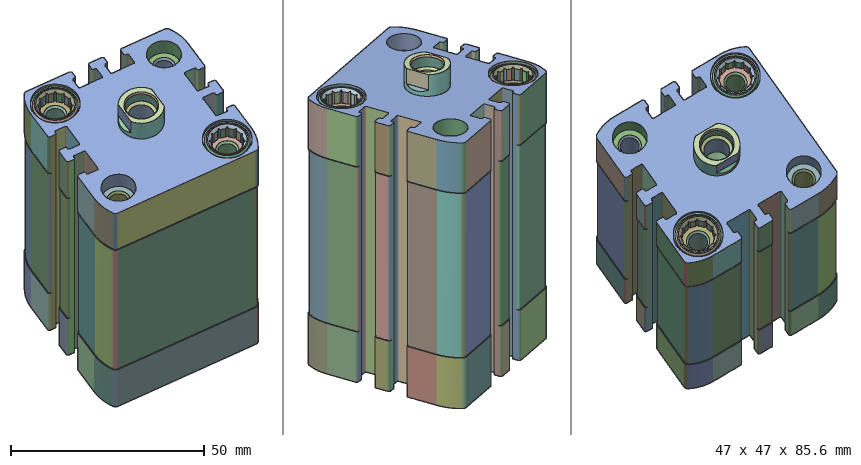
import cadquery as cq
import math

TOTAL_HEIGHT = 85.6
ROD_EXPOSED = 6.4
HOUSING_HEIGHT = TOTAL_HEIGHT - ROD_EXPOSED

HOUSING_WIDTH = 47.0
CAP_HEIGHT = 15.1
TUBE_INSET = 0.25
CORNER_RADIUS = 13.3
CORNER_BLEND_RADIUS = 1.3
SCREW_OFFSET = 16.3

SLOT_OFFSET = 4.8
SLOT_MOUTH_WIDTH = 5.0
SLOT_INNER_WIDTH = 7.1
SLOT_DEPTH = 5.9
SLOT_LIP_DEPTH = 2.4
SLOT_LIP_RADIUS = 0.6
SLOT_INNER_RADIUS = 0.3
SLOT_SIDE_ANGLES = (0, 180, -90)

BORE_DIAMETER = 4.9
BORE_CHAMFER_DIAMETER = 6.0
BORE_CHAMFER_DEPTH = (BORE_CHAMFER_DIAMETER - BORE_DIAMETER) / 2

COUNTERBORE_DIAMETER = 9.0
COUNTERBORE_DEPTH = 5.0

RECESS_DIAMETER = 12.8
HEAD_DIAMETER = 11.9
HEAD_GROOVE_DEPTH = 0.8
HEAD_TOP_DIAMETER = 10.9
HEAD_TOP_DEPTH = 0.25
SOCKET_RIM_DIAMETER = 10.2
SOCKET_DIAMETER = 8.5
SOCKET_DEPTH = 4.5
SOCKET_SQUARES = 3
SOCKET_POINT_DIAMETER = 9.25

ROD_DIAMETER = 12.0
ROD_LENGTH = 21.4
ROD_FLAT_WIDTH = 10.0
ROD_FLAT_HEIGHT = 4.5
ROD_FLAT_RUNOUT = 0.7

ROD_MOUTH_DIAMETER = 9.0
ROD_MOUTH_DEPTH = 0.5
ROD_ENTRY_DIAMETER = 8.4
ROD_ENTRY_DEPTH = 3.4
ROD_DRILL_DIAMETER = 6.7
ROD_DRILL_DEPTH = 12.0
DRILL_POINT_SLOPE = math.tan(math.radians(30))


def outline_block(inset, height):
    """Square block with bulged corners, its outline moved inwards by inset."""
    half = HOUSING_WIDTH / 2 - inset
    radius = CORNER_RADIUS - inset
    reach = half - SCREW_OFFSET
    corner_y = half - radius + math.sqrt(radius**2 - reach**2)
    return (
        cq.Workplane("XY")
        .moveTo(-SCREW_OFFSET, -half)
        .lineTo(SCREW_OFFSET, -half)
        .radiusArc((half, -corner_y), -radius)
        .lineTo(half, corner_y)
        .radiusArc((SCREW_OFFSET, half), -radius)
        .lineTo(-SCREW_OFFSET, half)
        .radiusArc((-half, corner_y), -radius)
        .lineTo(-half, -corner_y)
        .radiusArc((-SCREW_OFFSET, -half), -radius)
        .close()
        .extrude(height)
        .edges("|Z and (<X or >X)")
        .fillet(CORNER_BLEND_RADIUS)
    )


def slot_cutter(inset, height):
    """T-slot in the -Y side with rounded lips; the floor does not move with the inset."""
    face = -HOUSING_WIDTH / 2 + inset
    lip = -HOUSING_WIDTH / 2 + SLOT_LIP_DEPTH
    floor = -HOUSING_WIDTH / 2 + SLOT_DEPTH
    mouth = SLOT_MOUTH_WIDTH / 2
    inner = SLOT_INNER_WIDTH / 2
    margin = SLOT_INNER_RADIUS
    return (
        cq.Workplane("XY")
        .moveTo(mouth + SLOT_LIP_RADIUS, face)
        .radiusArc((mouth, face + SLOT_LIP_RADIUS), SLOT_LIP_RADIUS)
        .lineTo(mouth, lip)
        .lineTo(inner, lip)
        .lineTo(inner, floor)
        .lineTo(-inner, floor)
        .lineTo(-inner, lip)
        .lineTo(-mouth, lip)
        .lineTo(-mouth, face + SLOT_LIP_RADIUS)
        .radiusArc((-mouth - SLOT_LIP_RADIUS, face), SLOT_LIP_RADIUS)
        .close()
        .extrude(height)
        .edges(cq.selectors.BoxSelector(
            (-inner - margin, lip - margin, -margin),
            (inner + margin, floor + margin, height + margin),
        ))
        .edges("|Z")
        .fillet(SLOT_INNER_RADIUS)
    )


def housing_section(inset, height, base_z):
    """One slotted length of the housing, starting at base_z."""
    section = outline_block(inset, height)
    for angle in SLOT_SIDE_ANGLES:
        for offset in (-SLOT_OFFSET, SLOT_OFFSET):
            slot = slot_cutter(inset, height).translate((offset, 0, 0))
            section = section.cut(slot.rotate((0, 0, 0), (0, 0, 1), angle))
    return section.translate((0, 0, base_z))


def revolved(profile):
    """Solid of revolution about Z from (radius, z) points that start and end on the axis."""
    return cq.Workplane("XZ").polyline(profile).close().revolve(360, (0, 0, 0), (0, 1, 0))


def through_bore(seat_z):
    """Bore down to z = 0 with a chamfered mouth at seat_z."""
    return revolved([
        (0, 0),
        (BORE_DIAMETER / 2, 0),
        (BORE_DIAMETER / 2, seat_z - BORE_CHAMFER_DEPTH),
        (BORE_CHAMFER_DIAMETER / 2, seat_z),
        (0, seat_z),
    ])


def open_corner_cutter():
    """Counterbore with a through bore below it."""
    seat_z = HOUSING_HEIGHT - COUNTERBORE_DEPTH
    counterbore = (
        cq.Workplane("XY", origin=(0, 0, seat_z))
        .circle(COUNTERBORE_DIAMETER / 2)
        .extrude(COUNTERBORE_DEPTH)
    )
    return counterbore.union(through_bore(seat_z))


def screw_corner_cutter():
    """Space around and inside a sunk screw head, with a through bore below its socket."""
    head_z = HOUSING_HEIGHT - HEAD_TOP_DEPTH
    seat_z = HOUSING_HEIGHT - SOCKET_DEPTH
    groove_z = HOUSING_HEIGHT - HEAD_GROOVE_DEPTH
    cone_depth = (SOCKET_RIM_DIAMETER - SOCKET_DIAMETER) / 2
    recess = revolved([
        (0, seat_z),
        (SOCKET_DIAMETER / 2, seat_z),
        (SOCKET_DIAMETER / 2, head_z - cone_depth),
        (SOCKET_RIM_DIAMETER / 2, head_z),
        (HEAD_TOP_DIAMETER / 2, head_z),
        (HEAD_DIAMETER / 2, groove_z),
        (RECESS_DIAMETER / 2, groove_z),
        (RECESS_DIAMETER / 2, HOUSING_HEIGHT),
        (0, HOUSING_HEIGHT),
    ])
    square_side = SOCKET_POINT_DIAMETER / math.sqrt(2)
    for turn in range(SOCKET_SQUARES):
        square = (
            cq.Workplane("XY", origin=(0, 0, seat_z))
            .rect(square_side, square_side)
            .extrude(SOCKET_DEPTH - HEAD_TOP_DEPTH)
            .rotate((0, 0, 0), (0, 0, 1), 45 + turn * 90 / SOCKET_SQUARES)
        )
        recess = recess.union(square)
    return recess.union(through_bore(seat_z))


def make_housing():
    """Slotted cylinder housing with two end caps and a blind hole for the rod."""
    tube_height = HOUSING_HEIGHT - 2 * CAP_HEIGHT
    housing = (
        housing_section(0, CAP_HEIGHT, 0)
        .union(housing_section(TUBE_INSET, tube_height, CAP_HEIGHT))
        .union(housing_section(0, CAP_HEIGHT, HOUSING_HEIGHT - CAP_HEIGHT))
    )
    for side in (-1, 1):
        screw_place = (side * SCREW_OFFSET, side * SCREW_OFFSET, 0)
        open_place = (side * SCREW_OFFSET, -side * SCREW_OFFSET, 0)
        housing = housing.cut(screw_corner_cutter().translate(screw_place))
        housing = housing.cut(open_corner_cutter().translate(open_place))
    rod_hole = (
        cq.Workplane("XY", origin=(0, 0, TOTAL_HEIGHT - ROD_LENGTH))
        .circle(ROD_DIAMETER / 2)
        .extrude(ROD_LENGTH)
    )
    return housing.cut(rod_hole)


def rod_flat_cutter():
    """Removes the +Y side of the rod end down to a flat with a sloped ledge."""
    flat_y = ROD_FLAT_WIDTH / 2
    rod_radius = ROD_DIAMETER / 2
    ledge_z = TOTAL_HEIGHT - ROD_FLAT_HEIGHT
    return (
        cq.Workplane("YZ")
        .polyline([
            (flat_y, TOTAL_HEIGHT),
            (flat_y, ledge_z),
            (rod_radius, ledge_z - ROD_FLAT_RUNOUT),
            (rod_radius, TOTAL_HEIGHT),
        ])
        .close()
        .extrude(rod_radius, both=True)
    )


def make_rod():
    """Piston rod with two wrench flats and a threaded-hole shape in its end."""
    rod = (
        cq.Workplane("XY", origin=(0, 0, TOTAL_HEIGHT - ROD_LENGTH))
        .circle(ROD_DIAMETER / 2)
        .extrude(ROD_LENGTH)
    )
    for angle in (0, 180):
        rod = rod.cut(rod_flat_cutter().rotate((0, 0, 0), (0, 0, 1), angle))
    drill_z = TOTAL_HEIGHT - ROD_DRILL_DEPTH
    entry_z = TOTAL_HEIGHT - ROD_ENTRY_DEPTH
    step_depth = (ROD_ENTRY_DIAMETER - ROD_DRILL_DIAMETER) / 2 * DRILL_POINT_SLOPE
    hole = revolved([
        (0, drill_z - ROD_DRILL_DIAMETER / 2 * DRILL_POINT_SLOPE),
        (ROD_DRILL_DIAMETER / 2, drill_z),
        (ROD_DRILL_DIAMETER / 2, entry_z - step_depth),
        (ROD_ENTRY_DIAMETER / 2, entry_z),
        (ROD_ENTRY_DIAMETER / 2, TOTAL_HEIGHT - ROD_MOUTH_DEPTH),
        (ROD_MOUTH_DIAMETER / 2, TOTAL_HEIGHT),
        (0, TOTAL_HEIGHT),
    ])
    return rod.cut(hole)


housing = make_housing()
rod = make_rod()
result = cq.Compound.makeCompound([housing.val(), rod.val()])